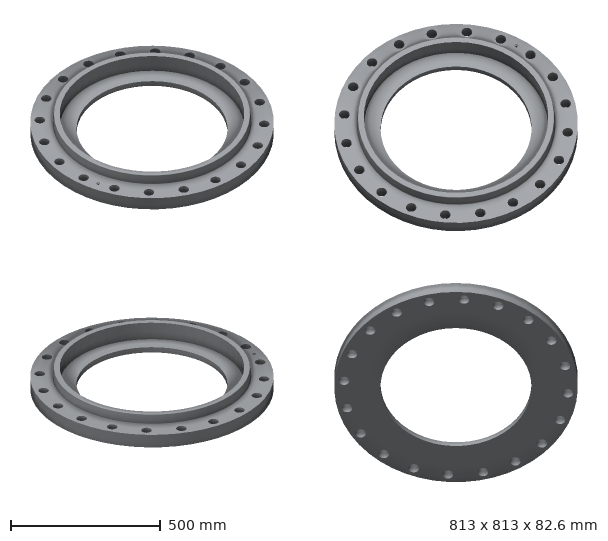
import cadquery as cq
import math

flange_diameter = 813.0
flange_thickness = 47.8

overall_height = 82.6
hub_base_diameter = 663.0
hub_top_diameter = 655.0
hub_base_fillet_radius = 2.0
hub_top_fillet_radius = 2.0

recess_diameter = 616.0
bore_diameter = 504.0
bore_lip_thickness = 20.0

bolt_circle_diameter = 749.3
bolt_hole_diameter = 35.0
bolt_count = 20

counterbore_diameter = 12.7
counterbore_depth = 3.0
small_hole_diameter = 6.0
small_hole_depth = 20.0
bolt_pitch_angle = 360.0 / bolt_count
small_hole_angle = -90.0 + bolt_pitch_angle / 2


def make_body():
    """Ring with a tapered hub and a stepped bore, revolved about Z."""
    profile = [
        (bore_diameter / 2, 0),
        (flange_diameter / 2, 0),
        (flange_diameter / 2, flange_thickness),
        (hub_base_diameter / 2, flange_thickness),
        (hub_top_diameter / 2, overall_height),
        (recess_diameter / 2, overall_height),
        (recess_diameter / 2, bore_lip_thickness),
        (bore_diameter / 2, bore_lip_thickness),
    ]
    body = cq.Workplane("XZ").polyline(profile).close().revolve(360, (0, 0), (0, 1))
    hub_base_edge = cq.selectors.RadiusNthSelector(-2)
    hub_top_edge = cq.selectors.RadiusNthSelector(-1)
    body = body.edges("%CIRCLE").edges(hub_base_edge).fillet(hub_base_fillet_radius)
    return body.faces(">Z").edges(hub_top_edge).fillet(hub_top_fillet_radius)


def make_bolt_holes():
    """Through holes evenly spaced on the bolt circle."""
    return (
        cq.Workplane("XY")
        .polarArray(bolt_circle_diameter / 2, 0, 360, bolt_count)
        .circle(bolt_hole_diameter / 2)
        .extrude(flange_thickness)
    )


def make_small_hole():
    """Counterbored blind hole sunk into the flange's upper face, on the bolt circle."""
    angle = math.radians(small_hole_angle)
    radius = bolt_circle_diameter / 2
    mouth = cq.Workplane("XY", origin=(0, 0, flange_thickness)).center(
        radius * math.cos(angle), radius * math.sin(angle)
    )
    counterbore = mouth.circle(counterbore_diameter / 2).extrude(-counterbore_depth)
    hole = mouth.circle(small_hole_diameter / 2).extrude(-small_hole_depth)
    return counterbore.union(hole)


result = make_body().cut(make_bolt_holes()).cut(make_small_hole())